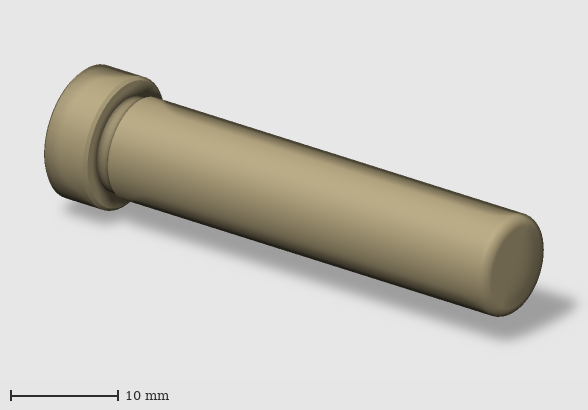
import cadquery as cq

total_length = 50.0
head_radius = 6.5
head_length = 5.0
head_chamfer = 0.3
neck_radius = 4.7
shaft_radius = 5.0
shaft_start = 6.5
lead_in = shaft_radius - neck_radius
tip_radius = 1.0


def cylinder(start, end, radius):
    """Cylinder along X between two stations."""
    return cq.Workplane("YZ", origin=(start, 0, 0)).circle(radius).extrude(end - start)


def make_head():
    return cylinder(0, head_length, head_radius).edges().chamfer(head_chamfer)


def make_neck():
    return cylinder(head_length, shaft_start - lead_in, neck_radius)


def make_shaft():
    shaft = cylinder(shaft_start - lead_in, total_length, shaft_radius)
    shaft = shaft.faces("<X").edges().chamfer(lead_in)
    return shaft.faces(">X").edges().fillet(tip_radius)


result = make_head().union(make_neck()).union(make_shaft())